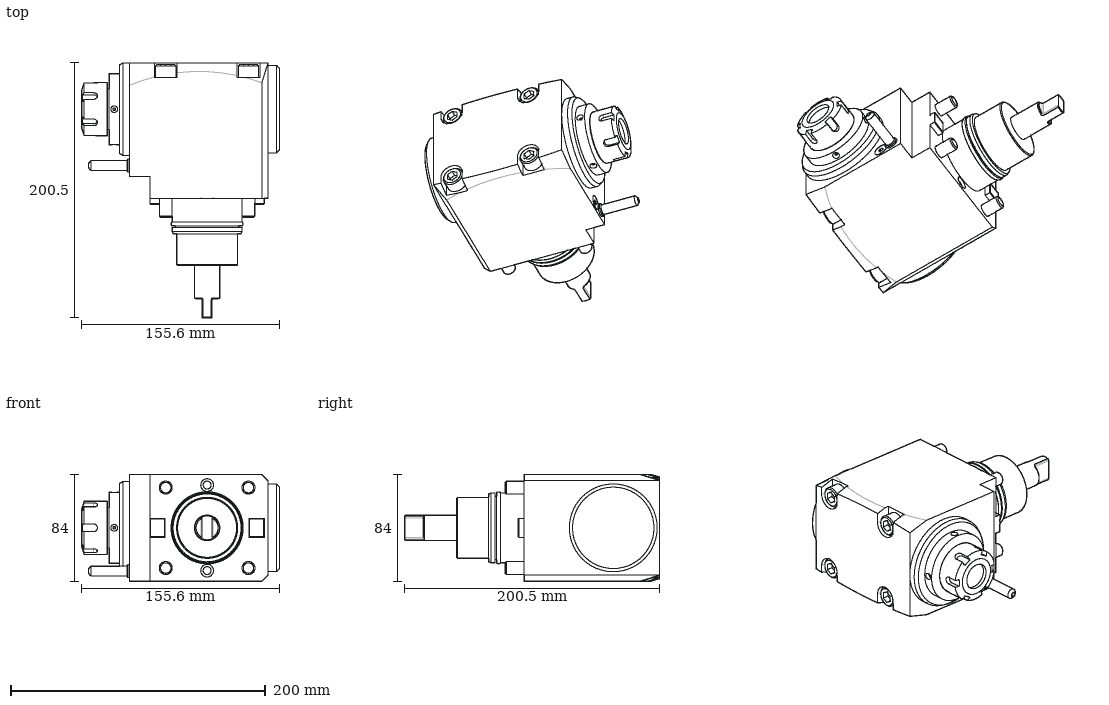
import cadquery as cq
import math


block_left = -61.0
block_right = 48.0
block_back = 106.5
block_height = 84.0
half_height = block_height / 2
step_x = -45.0
step_y = 17.0
edge_chamfer = 5.0

relief_center_x = (block_left + block_right) / 2
relief_depth = 6.8
relief_radius = 141.0
relief_center_y = block_back - relief_depth - relief_radius
relief_angle = 16.5
relief_drop = 8.0

spindle_y = 70.0
cap_diameter = 69.0
cap_length = 9.0
cap_chamfer = 2.5
flange_diameter = 73.0
flange_length = 8.0
flange_cone_length = 3.0
flange_cone_drop = 1.7
ring_diameter = 56.0
ring_length = 8.0
ring_hole_diameter = 5.4
ring_hole_floor_diameter = 2.0
ring_hole_depth = 2.0
ring_socket_size = 1.8
ring_socket_depth = 1.5
ring_hole_count = 4

neck_diameter = 32.0
neck_length = 1.1
nut_diameter = 42.0
nut_length = 20.5
nut_face_diameter = 30.0
nut_cone_length = 2.0
nut_rear_chamfer = 0.6
nut_bore_diameter = 20.5
nut_bore_depth = 3.0
slot_count = 6
slot_width = 6.0
slot_length = 12.4
slot_floor_radius = 17.5

shank_diameter = 55.0
seal_start = 18.8
seal_diameter = 56.7
seal_edge_diameter = 55.4
seal_width = 2.9
groove_diameter = 50.0
groove_width = 1.1
collar_end = 27.9
collar_chamfer_length = 1.9
collar_chamfer_drop = 0.8
nose_diameter = 48.0
nose_end = 53.0
nose_chamfer = 0.8
shaft_diameter = 20.0
shoulder_start = 79.0
shaft_end = 94.0
shaft_chamfer = 0.6
tang_thickness = 8.0
tang_root_radius = 0.8
tang_bevel = 0.8
shoulder_chamfer = 0.6

screw_x = 32.5
screw_z = 31.6
screw_diameter = 10.2
screw_length = 15.0
screw_chamfer = 1.0
pocket_width = 18.0
pocket_depth = 11.5
head_diameter = 16.0
head_length = 10.0
head_chamfer = 1.0
socket_size = 8.0
socket_depth = 5.0
key_width = 15.0
key_length = 12.0
key_height = 4.7
key_edge_radius = 0.5
face_hole_z = 33.6
face_hole_diameter = 6.2
face_hole_mouth = 10.0
face_hole_depth = 10.0
cross_bore_diameter = 8.0
cross_bore_length = 12.0

pin_y = 25.7
pin_z = -34.0
pin_diameter = 8.0
pin_tip_x = -93.2
pin_chamfer = 2.0
pin_collar_diameter = 10.4
pin_collar_chamfer = 0.8
pin_collar_length = 2.0
pin_bore_diameter = 3.0
pin_bore_depth = 5.0
plug_y = 35.8
plug_diameter = 11.2
plug_recess = 0.2
plug_socket_size = 3.8
plug_socket_depth = 3.0


def cylinder_x(diameter, x_start, x_end, y, z):
    """Cylinder along X from x_start to x_end."""
    return cq.Workplane("YZ", origin=(x_start, y, z)).circle(diameter / 2).extrude(x_end - x_start)


def cylinder_y(diameter, y_start, y_end, x, z):
    """Cylinder along Y from y_start to y_end."""
    plane = cq.Plane(origin=(x, y_start, z), xDir=(1, 0, 0), normal=(0, 1, 0))
    return cq.Workplane(plane).circle(diameter / 2).extrude(y_end - y_start)


def make_block():
    outline = [
        (block_left, step_y),
        (step_x, step_y),
        (step_x, 0),
        (block_right, 0),
        (block_right, block_back),
        (block_left, block_back),
    ]
    block = cq.Workplane("XY").workplane(offset=-half_height).polyline(outline).close().extrude(block_height)
    return block.edges("|Y and >X").chamfer(edge_chamfer)


def make_relief_envelope():
    """Double cone that keeps the block inside its sloped back edges."""
    lower_radius = relief_radius + relief_drop / math.tan(math.radians(relief_angle))
    z_drop = half_height - relief_drop
    profile = [
        (0, -half_height),
        (relief_radius, -half_height),
        (lower_radius, -z_drop),
        (lower_radius, z_drop),
        (relief_radius, half_height),
        (0, half_height),
    ]
    plane = cq.Plane(origin=(relief_center_x, relief_center_y, 0), xDir=(1, 0, 0), normal=(0, -1, 0))
    return cq.Workplane(plane).polyline(profile).close().revolve(360, (0, 0, 0), (0, 1, 0))


def make_spindle_side():
    """Flange and ring on the left of the block, bearing cap on the right."""
    cap = cylinder_x(cap_diameter, block_right, block_right + cap_length, spindle_y, 0)
    cap = cap.faces(">X").chamfer(cap_chamfer)
    flange_radius = flange_diameter / 2
    flange_front = block_left - flange_length
    ring_front = flange_front - ring_length
    profile = [
        (block_left, 0),
        (block_left, flange_radius),
        (flange_front + flange_cone_length, flange_radius),
        (flange_front, flange_radius - flange_cone_drop),
        (flange_front, ring_diameter / 2),
        (ring_front, ring_diameter / 2),
        (ring_front, 0),
    ]
    flange = (
        cq.Workplane("XY", origin=(0, spindle_y, 0)).polyline(profile).close()
        .revolve(360, (0, 0, 0), (1, 0, 0))
    )
    hole_x = flange_front - ring_length / 2
    floor_z = ring_diameter / 2 - ring_hole_depth
    top_hole = cq.Workplane(
        cq.Solid.makeCone(
            ring_hole_floor_diameter / 2,
            ring_hole_diameter / 2,
            ring_hole_depth,
            cq.Vector(hole_x, spindle_y, floor_z),
        )
    )
    top_socket = (
        cq.Workplane("XY", origin=(hole_x, spindle_y, floor_z))
        .polygon(6, ring_socket_size).extrude(-ring_socket_depth)
    )
    for i in range(ring_hole_count):
        angle = i * 360 / ring_hole_count
        for cutter in (top_hole, top_socket):
            flange = flange.cut(cutter.rotate((0, spindle_y, 0), (1, spindle_y, 0), angle))
    return flange.union(cap)


def make_shank():
    """Shank with its seal, groove, collar, nose and drive shaft, turned about Y."""
    shank_radius = shank_diameter / 2
    seal_end = seal_start + seal_width
    groove_end = seal_end + groove_width
    seal_middle = (seal_start + seal_end) / 2
    below_seal = [
        (groove_diameter / 2, -seal_end),
        (groove_diameter / 2, -groove_end),
        (shank_radius, -groove_end),
        (shank_radius, -collar_end + collar_chamfer_length),
        (shank_radius - collar_chamfer_drop, -collar_end),
        (nose_diameter / 2, -collar_end),
        (nose_diameter / 2, -nose_end + nose_chamfer),
        (nose_diameter / 2 - nose_chamfer, -nose_end),
        (shaft_diameter / 2, -nose_end),
        (shaft_diameter / 2, -shaft_end + shaft_chamfer),
        (shaft_diameter / 2 - shaft_chamfer, -shaft_end),
        (0, -shaft_end),
    ]
    shank = (
        cq.Workplane("XY")
        .lineTo(shank_radius, 0)
        .lineTo(shank_radius, -seal_start)
        .lineTo(seal_edge_diameter / 2, -seal_start)
        .threePointArc((seal_diameter / 2, -seal_middle), (seal_edge_diameter / 2, -seal_end))
    )
    for radius, y in below_seal:
        shank = shank.lineTo(radius, y)
    return shank.close().revolve(360, (0, 0, 0), (0, 1, 0))


def cut_tang(shank):
    """Mill the end of the drive shaft to a tang with rounded roots and bevelled long edges."""
    tang_length = shaft_end - shoulder_start
    tang_center_y = -(shoulder_start + shaft_end) / 2
    flat = cq.Workplane("XY").box(shaft_diameter, tang_length, shaft_diameter)
    flat = flat.edges("<X and >Y").fillet(tang_root_radius)
    flat = flat.translate(((tang_thickness + shaft_diameter) / 2, tang_center_y, 0))
    for angle in (0, 180):
        shank = shank.cut(flat.rotate((0, 0, 0), (0, 1, 0), angle))
    edge_margin = tang_root_radius / 2
    long_edges = cq.selectors.BoxSelector(
        (-shaft_diameter, -shaft_end, -shaft_diameter),
        (shaft_diameter, -shoulder_start - tang_root_radius, shaft_diameter),
    )
    shoulder_edges = cq.selectors.BoxSelector(
        (-shaft_diameter, -shoulder_start - edge_margin, -shaft_diameter),
        (shaft_diameter, -shoulder_start + edge_margin, shaft_diameter),
    )
    shank = shank.edges(long_edges).edges("|Y").chamfer(tang_bevel)
    return shank.edges(shoulder_edges).edges("%CIRCLE").chamfer(shoulder_chamfer)


def make_screw_pocket(x, side):
    """Round-bottomed slot for a screw head, open to the back and to the top or bottom."""
    floor_y = block_back - pocket_depth
    bore = cylinder_y(pocket_width, floor_y, block_back, x, side * screw_z)
    opening = cq.Workplane("XY").box(pocket_width, pocket_depth, half_height)
    center_z = side * (screw_z + half_height / 2)
    return bore.union(opening.translate((x, floor_y + pocket_depth / 2, center_z)))


def make_screw(x, z):
    """Socket-head screw: head in its pocket, tip standing out of the mounting face."""
    floor_y = block_back - pocket_depth
    head_top = floor_y + head_length
    head = cylinder_y(head_diameter, floor_y, head_top, x, z).faces(">Y").chamfer(head_chamfer)
    plane = cq.Plane(origin=(x, head_top, z), xDir=(1, 0, 0), normal=(0, 1, 0))
    socket = cq.Workplane(plane).polygon(6, socket_size, circumscribed=True).extrude(-socket_depth)
    shaft = cylinder_y(screw_diameter, -screw_length, floor_y, x, z).faces("<Y").chamfer(screw_chamfer)
    return head.cut(socket).union(shaft)


def make_key(side):
    """Locating key on the mounting face."""
    key_x = side * (-step_x - key_length / 2)
    key = cq.Workplane("XY").box(key_length, key_height, key_width)
    key = key.faces("<Y").edges().chamfer(key_edge_radius)
    return key.translate((key_x, -key_height / 2, 0))


def make_face_hole(z):
    """Countersunk hole in the mounting face, ending in a short bore along Z."""
    hole = cylinder_y(face_hole_diameter, 0, face_hole_depth, 0, z)
    mouth_depth = (face_hole_mouth - face_hole_diameter) / 2
    mouth = cq.Workplane(
        cq.Solid.makeCone(
            face_hole_mouth / 2,
            face_hole_diameter / 2,
            mouth_depth,
            cq.Vector(0, 0, z),
            cq.Vector(0, 1, 0),
        )
    )
    cross_bore = cq.Workplane("XY", origin=(0, face_hole_depth, z)).circle(cross_bore_diameter / 2)
    cross_bore = cross_bore.extrude(cross_bore_length / 2, both=True)
    return hole.union(mouth).union(cross_bore)


def make_pin():
    """Coolant pin with its collar on the left face."""
    pin = cylinder_x(pin_diameter, pin_tip_x, block_left, pin_y, pin_z).faces("<X").chamfer(pin_chamfer)
    collar = cylinder_x(pin_collar_diameter, block_left - pin_collar_length, block_left, pin_y, pin_z)
    collar = collar.faces("<X").chamfer(pin_collar_chamfer)
    bore = cylinder_x(pin_bore_diameter, pin_tip_x, pin_tip_x + pin_bore_depth, pin_y, pin_z)
    return pin.union(collar).cut(bore)


def make_plug_recess():
    """Plug seat and its hexagon socket in the left face."""
    seat = cylinder_x(plug_diameter, block_left, block_left + plug_recess, plug_y, pin_z)
    socket = (
        cq.Workplane("YZ", origin=(block_left, plug_y, pin_z))
        .polygon(6, plug_socket_size).extrude(plug_socket_depth)
    )
    return seat.union(socket)


def make_housing():
    housing = make_block().intersect(make_relief_envelope())
    housing = housing.cut(make_plug_recess())
    for side in (-1, 1):
        housing = housing.cut(make_face_hole(side * face_hole_z))
        for x in (-screw_x, screw_x):
            housing = housing.cut(make_screw_pocket(x, side))
            housing = housing.union(make_screw(x, side * screw_z))
        housing = housing.union(make_key(side))
    return housing.union(make_spindle_side()).union(cut_tang(make_shank())).union(make_pin())


def make_collet_nut():
    """Slotted collet nut, its neck seated against the ring of the housing."""
    seat_x = block_left - flange_length - ring_length
    rear_x = seat_x - neck_length
    front_x = rear_x - nut_length
    nut_radius = nut_diameter / 2
    bore_radius = nut_bore_diameter / 2
    bore_floor_x = front_x + nut_bore_depth
    profile = [
        (seat_x, 0),
        (seat_x, neck_diameter / 2),
        (rear_x, neck_diameter / 2),
        (rear_x, nut_radius - nut_rear_chamfer),
        (rear_x - nut_rear_chamfer, nut_radius),
        (front_x + nut_cone_length, nut_radius),
        (front_x, nut_face_diameter / 2),
        (front_x, bore_radius),
        (bore_floor_x, bore_radius),
        (bore_floor_x, 0),
    ]
    nut = (
        cq.Workplane("XY", origin=(0, spindle_y, 0)).polyline(profile).close()
        .revolve(360, (0, 0, 0), (1, 0, 0))
    )
    straight_length = slot_length - slot_width / 2
    slot = (
        cq.Workplane("XZ", origin=(0, spindle_y - slot_floor_radius, 0))
        .moveTo(front_x, -slot_width / 2)
        .lineTo(front_x + straight_length, -slot_width / 2)
        .threePointArc((front_x + slot_length, 0), (front_x + straight_length, slot_width / 2))
        .lineTo(front_x, slot_width / 2)
        .close()
        .extrude(nut_radius)
    )
    for i in range(slot_count):
        nut = nut.cut(slot.rotate((0, spindle_y, 0), (1, spindle_y, 0), i * 360 / slot_count))
    return nut


housing = make_housing()
collet_nut = make_collet_nut()

result = cq.Compound.makeCompound([housing.val(), collet_nut.val()])